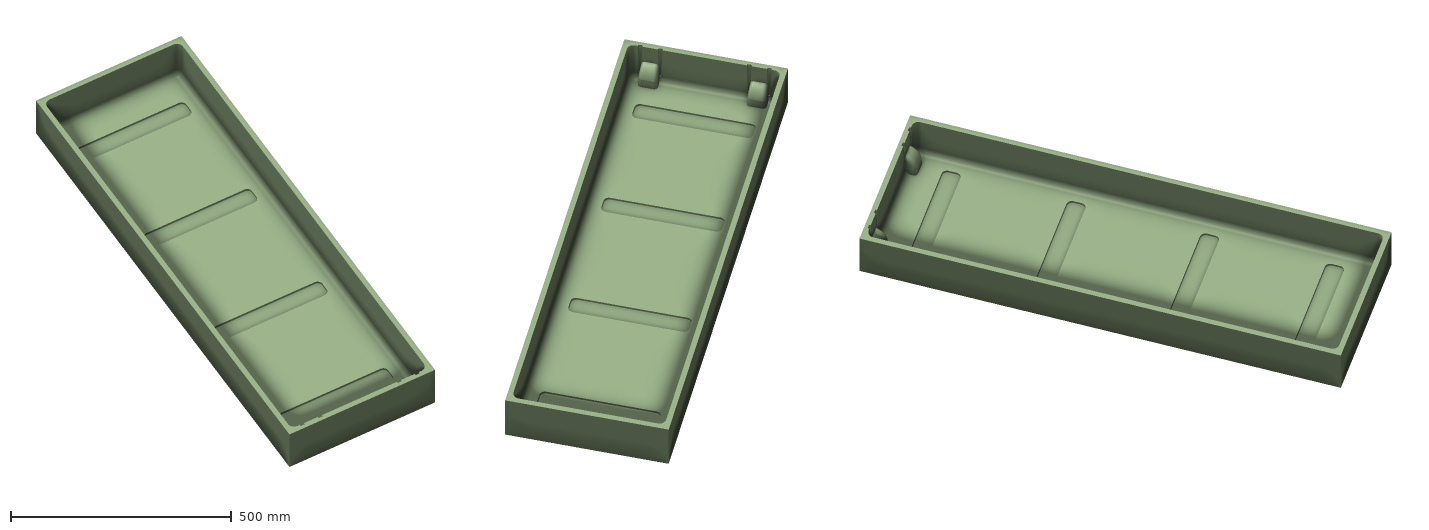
import cadquery as cq
import math

LENGTH = 1143.0
DEPTH = 381.0
HEIGHT = 114.3
RIM_WALL = 12.7
WALL_DRAFT = 2.0
FLOOR = 12.7
INNER_RADIUS = 15.875

SLOT_WIDTH = 44.45
SLOT_LENGTH = 282.0
SLOT_DEPTH = 6.35
SLOT_CORNER_RADIUS = 12.7
SLOT_BOTTOM_RADIUS = 2.0
INNER_SLOT_OFFSET = 158.5
OUTER_SLOT_OFFSET = 455.0

BOSS_WIDTH = 46.0
BOSS_REACH = 27.0
BOSS_FRONT_HEIGHT = 13.0
BOSS_TOP_RADIUS = 44.0
BOSS_EDGE_RADIUS = 8.5
BOSS_DRAFT = 3.0
BOSS_EMBED = 3.0
BOSS_OFFSET = 127.0

GROOVE_WIDTH = 10.5
GROOVE_SPACING = 47.0
GROOVE_DEPTH = 4.0
GROOVE_CUTTER_LENGTH = 25.4

CAVITY_DEPTH = HEIGHT - FLOOR
RIM_WALL_X = LENGTH / 2 - RIM_WALL
FOOT_WALL_X = RIM_WALL_X - CAVITY_DEPTH * math.tan(math.radians(WALL_DRAFT))


def make_tray():
    """Open box whose rounded cavity narrows slightly towards the floor."""
    outside = cq.Workplane("XY").box(LENGTH, DEPTH, HEIGHT, centered=(True, True, False))
    cavity = (
        cq.Workplane("XY", origin=(0, 0, HEIGHT))
        .rect(LENGTH - 2 * RIM_WALL, DEPTH - 2 * RIM_WALL)
        .extrude(-CAVITY_DEPTH, taper=WALL_DRAFT)
        .edges("not >Z")
        .fillet(INNER_RADIUS)
    )
    return outside.cut(cavity)


def make_slot(x):
    """Cutter for one floor slot, long in Y, with a rounded bottom edge."""
    return (
        cq.Workplane("XY", origin=(x, 0, FLOOR - SLOT_DEPTH))
        .rect(SLOT_WIDTH, SLOT_LENGTH)
        .extrude(SLOT_DEPTH)
        .edges("|Z")
        .fillet(SLOT_CORNER_RADIUS)
        .faces("<Z")
        .edges()
        .fillet(SLOT_BOTTOM_RADIUS)
    )


def make_boss(y):
    """Boss on the floor against the +X wall: drafted sides, top curving down towards -X."""
    front_x = FOOT_WALL_X - BOSS_REACH
    back_x = RIM_WALL_X + BOSS_EMBED
    front_top = FLOOR + BOSS_FRONT_HEIGHT
    length = back_x - front_x
    back_top = front_top + math.sqrt(BOSS_TOP_RADIUS**2 - (BOSS_TOP_RADIUS - length) ** 2)
    profile = (
        cq.Workplane("XZ", origin=(0, y + BOSS_WIDTH / 2, 0))
        .moveTo(back_x, FLOOR)
        .lineTo(front_x, FLOOR)
        .lineTo(front_x, front_top)
        .radiusArc((back_x, back_top), BOSS_TOP_RADIUS)
        .close()
        .extrude(BOSS_WIDTH)
    )
    drafted_block = (
        cq.Workplane("XY", origin=(back_x, y, FLOOR))
        .rect(2 * length, BOSS_WIDTH)
        .extrude(back_top - FLOOR, taper=BOSS_DRAFT)
    )
    return (
        profile.intersect(drafted_block)
        .faces("<Y or >Y")
        .edges("not(<Z or >X)")
        .fillet(BOSS_EDGE_RADIUS)
    )


def make_groove(y):
    """Cutter for one drafted vertical groove, open at the rim and ending above the floor radius."""
    center_x = RIM_WALL_X + GROOVE_DEPTH - GROOVE_CUTTER_LENGTH / 2
    return (
        cq.Workplane("XY", origin=(center_x, y, HEIGHT))
        .rect(GROOVE_CUTTER_LENGTH, GROOVE_WIDTH)
        .extrude(INNER_RADIUS - CAVITY_DEPTH, taper=WALL_DRAFT)
    )


result = make_tray()

for offset in (INNER_SLOT_OFFSET, OUTER_SLOT_OFFSET):
    for side in (-1, 1):
        result = result.cut(make_slot(side * offset))

for boss_y in (-BOSS_OFFSET, BOSS_OFFSET):
    for side in (-1, 1):
        groove_y = boss_y + side * GROOVE_SPACING / 2
        result = result.cut(make_groove(groove_y))
    result = result.union(make_boss(boss_y))